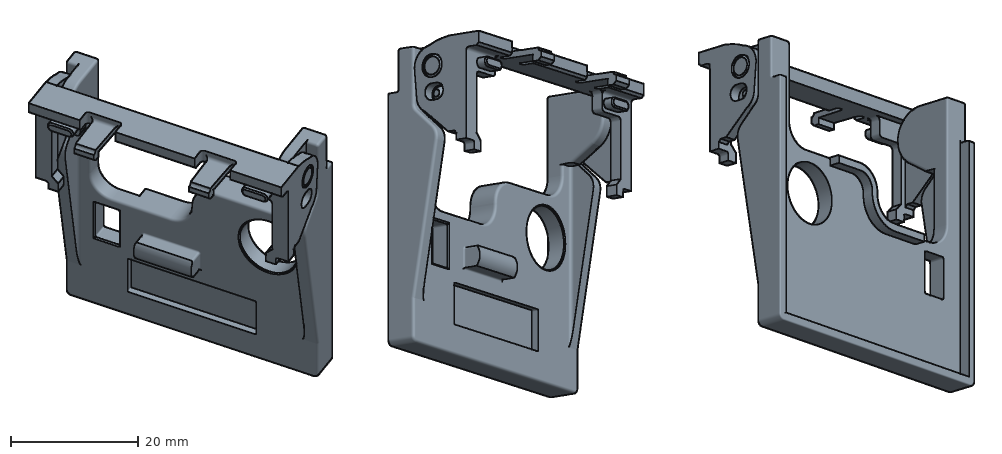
import cadquery as cq
import math

width = 44.8
half_width = width / 2
overall_height = 48.5
overall_depth = 22.2
side_gap = 0.2

pivot_y, pivot_z = -8.6, 44.1
pivot_radius = 1.9
pivot_chamfer = 0.45
detent_z = 39.85
detent_base_radius = 1.25
detent_tip_radius = 0.6
detent_height = 0.95
detent_slot_radius = 1.35
detent_slot_travel = 0.8

plate_depth = 5.05
arm_top = 47.75
edge_round = 0.5
back_round = 0.25
bottom_corner = 0.95

opening_half_width = 18.05
opening_low_z = 22.6
opening_high_z = 30.75
opening_step_x = -0.15
opening_corner_radius = 3.8
opening_step_radius = 4.05

flange_thickness = 2.25
flange_root_radius = 0.6
flange_foot_z = 7.1
flange_crest = (-9.7, 33.55)
flange_crest_radius = 2.65
flange_neck_z = 37.8
flange_neck_radius = 1.45

ear_outer_x = 20.25
ear_nose_y = -8.0
ear_nose_radius = 4.85
ear_nose_end = 235
ear_throat = (-6.8, 36.45)
ear_root_z = 36.2

back_pocket_depth = 1.95
back_pocket_rim = 1.35
back_step_z = 40.8
back_step_round = 0.35
opening_rim_left = -10.75
opening_rim_right = 8.85

round_hole_x, round_hole_z = 13.55, 23.6
round_hole_radius = 5.1
round_hole_chamfer = 0.2

window_center = (-15.1, 17.2)
window_size = (4.25, 7.1)
window_corner = 0.3
window_chamfer = 0.25

bump_left_x = -8.75
bump_length = 10.2
bump_top_z = 17.85
bump_bottom_z = 14.5
bump_front = (-8.1, 16.1)
bump_shoulder_y = -7.45
bump_end_round = 0.4
bump_root_radius = 0.3

label_center_z = 8.25
label_size = (22.8, 6.8)
label_depth = 1.2
label_corner = 0.25

bar_back_y = -11.7
post_front_y = -15.2
post_thickness = 1.95
post_root_radius = 0.6
post_back_y = post_front_y + post_thickness
lip_front_y = -17.6
bar_bottom_z = 46.2
lip_chamfer = 0.45

cheek_inner_x = ear_outer_x + side_gap
cheek_radius = 3.4
post_inner_x = 19.55
post_foot_z = 31.45
toe_bottom_z = 30.05
toe_outer_x = 20.15
toe_inner_x = 18.45
toe_top_z = 32.9
toe_radius = 0.45

tab_inner_x = 14.55
tab_bottom_z = 42.85
tab_radius = 0.65

rib_center = (17.2, 44.3)
rib_length = 4.55
rib_height = 1.65
rib_front_y = -16.9
rib_chamfer = 0.25

hook_x = 10.2
hook_width = 3.9
hook_tip_width = 3.5
hook_top_z = 47.25
hook_tip_bottom_z = 45.15
hook_tip_length = 1.6
hook_top_round = 0.6
hook_bevel = 0.55
hook_root_radius = 0.55
notch_width = 6.3
notch_corner = 0.55


def front_sketch(y):
    """Workplane in the plane Y = y whose local axes are X and Z; it extrudes toward -Y."""
    return cq.Workplane("XZ", origin=(0, y, 0))


def side_sketch(x):
    """Workplane in the plane X = x whose local axes are Y and Z; it extrudes toward +X."""
    return cq.Workplane("YZ", origin=(x, 0, 0))


def box_between(low, high):
    """Box with the two given opposite corners."""
    size = [b - a for a, b in zip(low, high)]
    return cq.Workplane("XY").box(*size, centered=False).translate(low)


def mirrored(shape):
    """Copy of a shape reflected to the other side of X = 0."""
    return shape.mirror("YZ")


def on_arc(center, radius, degrees):
    """Point on a circle at an angle measured from the first local axis."""
    angle = math.radians(degrees)
    return (center[0] + radius * math.cos(angle), center[1] + radius * math.sin(angle))


def frame_opening(margin=0.0):
    """Stepped opening, open at the top, widened all round by a margin."""
    top = overall_height
    side_x = opening_half_width + margin
    low_z = opening_low_z - margin
    high_z = opening_high_z - margin
    step_x = opening_step_x + margin
    outline = (
        front_sketch(0)
        .moveTo(-side_x, top)
        .lineTo(-side_x, low_z)
        .lineTo(step_x, low_z)
        .lineTo(step_x, high_z)
        .lineTo(side_x, high_z)
        .lineTo(side_x, top)
        .close()
        .extrude(plate_depth)
    )
    for x, z, radius in (
        (-side_x, low_z, opening_corner_radius + margin),
        (step_x, low_z, opening_corner_radius + margin),
        (step_x, high_z, opening_step_radius - margin),
        (side_x, high_z, opening_corner_radius + margin),
    ):
        corner = cq.selectors.NearestToPointSelector((x, -plate_depth / 2, z))
        outline = outline.edges("|Y").edges(corner).fillet(radius)
    return outline


def frame_plate():
    """Plate and its two upright arms, with rounded corners, front edges and back edges."""
    plate = box_between((-half_width, -plate_depth, 0), (half_width, 0, arm_top))
    plate = plate.edges("|Y and <Z").fillet(bottom_corner)
    plate = plate.cut(frame_opening())
    arm_tops = cq.selectors.BoxSelector(
        (-width, -plate_depth - 0.5, arm_top - 0.05), (width, 0.5, arm_top + 0.05)
    )
    plate = plate.edges("|Y").edges(arm_tops).fillet(edge_round)
    plate = plate.faces(">Y").edges().fillet(back_round)
    return plate.faces("<Y").edges().fillet(edge_round)


def flange():
    """Tapered side flange on the +X side, running up the outer edge of the arm."""
    back = -plate_depth / 2
    inner_x = half_width - flange_thickness
    blade = (
        side_sketch(inner_x - flange_root_radius)
        .moveTo(back, flange_foot_z)
        .lineTo(-plate_depth, flange_foot_z)
        .lineTo(*flange_crest)
        .lineTo(-plate_depth, flange_neck_z)
        .lineTo(-plate_depth, arm_top - edge_round)
        .lineTo(back, arm_top - edge_round)
        .close()
        .extrude(flange_thickness + flange_root_radius)
    )
    for corner, radius in (
        (flange_crest, flange_crest_radius),
        ((-plate_depth, flange_neck_z), flange_neck_radius),
    ):
        nearest = cq.selectors.NearestToPointSelector((inner_x, *corner))
        blade = blade.edges("|X").edges(nearest).fillet(radius)
    outer_front = cq.selectors.BoxSelector(
        (half_width - 0.05, -overall_depth, 0), (half_width + 0.05, 0.5 - plate_depth, overall_height)
    )
    blade = blade.edges(outer_front).fillet(edge_round)
    inner_space = box_between((0, -overall_depth, 0), (inner_x, -plate_depth, overall_height))
    inner_space = inner_space.edges("|Z and >X and >Y").fillet(flange_root_radius)
    return blade.cut(inner_space)


def ear():
    """Inner ear on the +X side that carries the pivot pin and the detent."""
    back = -plate_depth / 2
    nose_center = (ear_nose_y, arm_top - ear_nose_radius)
    blade = (
        side_sketch(opening_half_width)
        .moveTo(back, arm_top)
        .lineTo(ear_nose_y, arm_top)
        .threePointArc(
            on_arc(nose_center, ear_nose_radius, 160),
            on_arc(nose_center, ear_nose_radius, ear_nose_end),
        )
        .lineTo(*ear_throat)
        .lineTo(back, ear_root_z)
        .close()
        .extrude(ear_outer_x - opening_half_width)
    )
    inner_outline = cq.selectors.BoxSelector(
        (0, -overall_depth, 0), (opening_half_width + 0.05, -plate_depth, overall_height)
    )
    return blade.edges(inner_outline).fillet(edge_round)


def pivot_pin():
    """Pin on the +X ear, flush with the outer face of the latch cheek."""
    return (
        side_sketch(ear_outer_x)
        .center(pivot_y, pivot_z)
        .circle(pivot_radius)
        .extrude(half_width - ear_outer_x)
        .faces(">X")
        .chamfer(pivot_chamfer)
    )


def detent():
    """Conical detent on the +X ear."""
    return (
        side_sketch(ear_outer_x)
        .center(pivot_y, detent_z)
        .circle(detent_base_radius)
        .workplane(offset=detent_height)
        .circle(detent_tip_radius)
        .loft()
    )


def back_relief():
    """Pocket in the back face, open at the top, and the step cut across the arms."""
    top = overall_height
    rim_x = half_width - back_pocket_rim
    pocket = box_between((-rim_x, -back_pocket_depth, back_pocket_rim), (rim_x, 0, top))
    rim_span = box_between(
        (opening_rim_left, -back_pocket_depth, 0), (opening_rim_right, 0, top)
    )
    pocket = pocket.cut(frame_opening(back_pocket_rim).intersect(rim_span))
    step = box_between((-half_width, -back_pocket_depth, back_step_z), (half_width, 0, top))
    step = step.edges("<Y and <Z").fillet(back_step_round)
    return pocket.union(step)


def grip_bump():
    """Bar with a rounded front that stands out from the plate, below the opening."""
    back = -plate_depth / 2
    return (
        side_sketch(bump_left_x)
        .moveTo(back, bump_bottom_z)
        .lineTo(bump_shoulder_y, bump_bottom_z)
        .threePointArc(bump_front, (bump_shoulder_y, bump_top_z))
        .lineTo(back, bump_top_z)
        .close()
        .extrude(bump_length)
        .faces("<X or >X")
        .edges(">Z")
        .fillet(bump_end_round)
    )


def plate_with_bump():
    """Plate and grip bump, blended where they meet."""
    body = frame_plate().union(grip_bump())
    reach = bump_root_radius
    root = cq.selectors.BoxSelector(
        (bump_left_x - reach, -plate_depth - 0.05, bump_bottom_z - reach),
        (bump_left_x + bump_length + reach, -plate_depth + 0.05, bump_top_z + reach),
    )
    return body.edges(root).fillet(bump_root_radius)


def plate_cutouts():
    """Round hole and window through the plate, and the shallow label pocket."""
    front = -plate_depth
    hole = front_sketch(0).center(round_hole_x, round_hole_z).circle(round_hole_radius)
    hole = hole.extrude(plate_depth)
    hole_rim = front_sketch(front + round_hole_chamfer).center(round_hole_x, round_hole_z)
    hole_rim = hole_rim.circle(round_hole_radius).extrude(
        round_hole_chamfer, taper=-45
    )
    window = front_sketch(0).center(*window_center).rect(*window_size).extrude(plate_depth)
    window = window.edges("|Y").fillet(window_corner)
    window_rim = front_sketch(front + window_chamfer).center(*window_center)
    window_rim = window_rim.rect(*window_size).extrude(window_chamfer, taper=-45)
    label = front_sketch(front + label_depth).center(0, label_center_z).rect(*label_size)
    label = label.extrude(label_depth).edges("|Y").fillet(label_corner)
    return hole.union(hole_rim).union(window).union(window_rim).union(label)


def make_frame():
    side = flange().union(ear()).union(pivot_pin()).union(detent())
    body = plate_with_bump().union(side).union(mirrored(side))
    body = body.cut(back_relief()).cut(plate_cutouts())
    arm_backs = cq.selectors.BoxSelector(
        (-width, -back_pocket_depth - 0.05, back_step_z + 0.5),
        (width, -back_pocket_depth + 0.05, overall_height),
    )
    return body.edges(arm_backs).fillet(back_step_round)


def latch_bar():
    """Cross bar with its lip, spanning the full width."""
    bar = box_between(
        (-half_width, lip_front_y, bar_bottom_z), (half_width, bar_back_y, overall_height)
    )
    return bar.edges("<Y and <Z").chamfer(lip_chamfer)


def cheek():
    """Side cheek on the +X side, with the pivot hole and the detent slot."""
    pivot = (pivot_y, pivot_z)
    plate = (
        side_sketch(cheek_inner_x)
        .moveTo(post_front_y, overall_height)
        .lineTo(-12.25, overall_height)
        .threePointArc((-10.65, 48.3), on_arc(pivot, cheek_radius, 80))
        .threePointArc(on_arc(pivot, cheek_radius, 40), (pivot_y + cheek_radius, pivot_z))
        .lineTo(-5.62, 39.1)
        .threePointArc((-6.1, 37.75), (-7.23, 36.8))
        .lineTo(-11.65, 33.0)
        .lineTo(-12.8, 33.0)
        .lineTo(post_back_y, 32.6)
        .lineTo(post_front_y, 32.6)
        .close()
        .extrude(half_width - cheek_inner_x)
    )
    thickness = half_width - cheek_inner_x
    hole = side_sketch(cheek_inner_x).center(*pivot).circle(pivot_radius).extrude(thickness)
    slot_length = 2 * detent_slot_radius + detent_slot_travel
    slot = (
        side_sketch(cheek_inner_x)
        .center(pivot_y - detent_slot_travel / 2, detent_z)
        .slot2D(slot_length, 2 * detent_slot_radius)
        .extrude(thickness)
    )
    return plate.cut(hole).cut(slot)


def post():
    """Front post on the +X side: a tab below the bar, a leg and an inset toe."""
    chamfer = post_inner_x - toe_inner_x
    toe_bend_z = post_foot_z - toe_radius
    outline = (
        front_sketch(post_back_y)
        .moveTo(half_width, bar_bottom_z)
        .lineTo(half_width, post_foot_z)
        .lineTo(toe_outer_x + toe_radius, post_foot_z)
        .radiusArc((toe_outer_x, toe_bend_z), -toe_radius)
        .lineTo(toe_outer_x, toe_bottom_z)
        .lineTo(toe_inner_x, toe_bottom_z)
        .lineTo(toe_inner_x, toe_top_z - chamfer)
        .lineTo(post_inner_x, toe_top_z)
        .lineTo(post_inner_x, tab_bottom_z - tab_radius)
        .radiusArc((post_inner_x - tab_radius, tab_bottom_z), -tab_radius)
        .lineTo(tab_inner_x + tab_radius, tab_bottom_z)
        .radiusArc((tab_inner_x, tab_bottom_z + tab_radius), tab_radius)
        .lineTo(tab_inner_x, bar_bottom_z - tab_radius)
        .radiusArc((tab_inner_x - tab_radius, bar_bottom_z), -tab_radius)
        .close()
        .extrude(post_thickness)
    )
    return outline


def post_cove():
    """Concave blend between the front of the +X post and the underside of the lip."""
    reach = post_root_radius
    return (
        side_sketch(tab_inner_x)
        .moveTo(post_front_y, bar_bottom_z)
        .lineTo(post_front_y, bar_bottom_z - reach)
        .radiusArc((post_front_y - reach, bar_bottom_z), -reach)
        .close()
        .extrude(half_width - tab_inner_x)
    )


def rib():
    """Rounded rib on the front of the +X tab."""
    return (
        front_sketch(post_front_y)
        .center(*rib_center)
        .slot2D(rib_length, rib_height)
        .extrude(post_front_y - rib_front_y)
        .faces("<Y")
        .chamfer(rib_chamfer)
    )


def hook_notch():
    """Notch in the lip around the +X hook, with rounded inner corners."""
    half = notch_width / 2
    return box_between(
        (hook_x - half, lip_front_y, 0), (hook_x + half, post_front_y, overall_height)
    ).edges("|Z and >Y").fillet(notch_corner)


def hook():
    """Snap hook at the +X notch, slightly narrower toward its tip."""
    tip_y = -overall_depth
    profile = (
        side_sketch(hook_x - hook_width / 2)
        .moveTo(post_front_y, hook_top_z)
        .lineTo(tip_y + hook_top_round, hook_top_z)
        .radiusArc((tip_y, hook_top_z - hook_top_round), hook_top_round)
        .lineTo(tip_y, hook_tip_bottom_z + hook_bevel)
        .lineTo(tip_y + hook_bevel, hook_tip_bottom_z)
        .lineTo(tip_y + hook_tip_length, hook_tip_bottom_z)
        .lineTo(tip_y + hook_tip_length, bar_bottom_z)
        .lineTo(post_front_y, bar_bottom_z)
        .close()
        .extrude(hook_width)
    )
    plan = (
        cq.Workplane("XY")
        .moveTo(hook_x - hook_width / 2, post_front_y)
        .lineTo(hook_x - hook_tip_width / 2, tip_y)
        .lineTo(hook_x + hook_tip_width / 2, tip_y)
        .lineTo(hook_x + hook_width / 2, post_front_y)
        .close()
        .extrude(overall_height)
    )
    return profile.intersect(plan)


def latch_front():
    """Bar, posts and hooks, rounded around the hook roots."""
    bar = latch_bar().cut(hook_notch()).cut(mirrored(hook_notch()))
    side = post().union(post_cove()).union(hook())
    body = bar.union(side).union(mirrored(side))
    for center_x in (-hook_x, hook_x):
        hook_root = cq.selectors.BoxSelector(
            (center_x - hook_width / 2 - 0.05, post_front_y - 0.05, bar_bottom_z + 0.05),
            (center_x + hook_width / 2 + 0.05, post_front_y + 0.05, overall_height - 0.05),
        )
        body = body.edges(hook_root).fillet(hook_root_radius)
    return body


def make_latch():
    side = cheek().union(rib())
    return latch_front().union(side).union(mirrored(side))


frame = make_frame()
latch = make_latch()

result = cq.Compound.makeCompound([frame.val(), latch.val()])